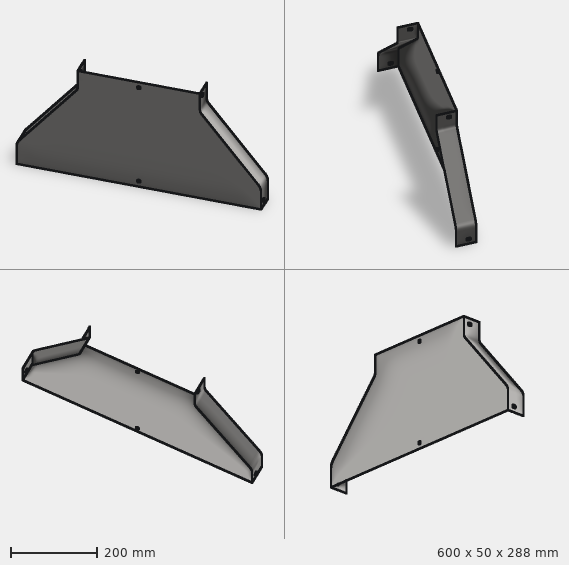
import cadquery as cq
import math

bottom_width = 600.0
top_width = 300.0
depth = 50.0
height = 288.0
sheet = 0.7

slope_angle = math.radians(40)
lower_corner_height = 59.0
lower_bend_radius = 30.0
upper_bend_radius = 19.0

hole_diameter = 7.0
flange_slot_length = 10.0
hole_edge_distance = 15.0
flange_hole_depth = 19.0

slope_run = (bottom_width - top_width) / 2
upper_corner_height = lower_corner_height + slope_run / math.tan(slope_angle)
hole_heights = (hole_edge_distance, height - hole_edge_distance)


def outline_prism(inset, y_start, y_end):
    """Solid inside the side outline, with its sides moved inwards by inset."""
    corner_drop = inset * math.tan(slope_angle / 2)
    bottom_x = bottom_width / 2 - inset
    top_x = top_width / 2 - inset
    lower_z = lower_corner_height - corner_drop
    upper_z = upper_corner_height - corner_drop
    prism = (
        cq.Workplane("XZ", origin=(0, y_start, 0))
        .polyline([
            (-bottom_x, 0),
            (bottom_x, 0),
            (bottom_x, lower_z),
            (top_x, upper_z),
            (top_x, height),
            (-top_x, height),
            (-top_x, upper_z),
            (-bottom_x, lower_z),
        ])
        .close()
        .extrude(y_start - y_end)
    )
    bends = (
        (bottom_x, lower_z, lower_bend_radius - inset),
        (top_x, upper_z, upper_bend_radius + inset),
    )
    for x, z, radius in bends:
        for side in (-1, 1):
            corner = cq.selectors.NearestToPointSelector((side * x, (y_start + y_end) / 2, z))
            prism = prism.edges("|Y").edges(corner).fillet(radius)
    return prism


def plate_holes():
    """Round holes on the centre line of the plate."""
    return (
        cq.Workplane("XZ")
        .pushPoints([(0, z) for z in hole_heights])
        .circle(hole_diameter / 2)
        .extrude(-sheet)
    )


def flange_slots():
    """Slots through both flanges, elongated along the flange depth."""
    return (
        cq.Workplane("YZ")
        .pushPoints([(flange_hole_depth, z) for z in hole_heights])
        .slot2D(flange_slot_length, hole_diameter)
        .extrude(bottom_width / 2, both=True)
    )


tray = outline_prism(0, 0, depth).cut(outline_prism(sheet, sheet, depth))
result = tray.cut(plate_holes()).cut(flange_slots())